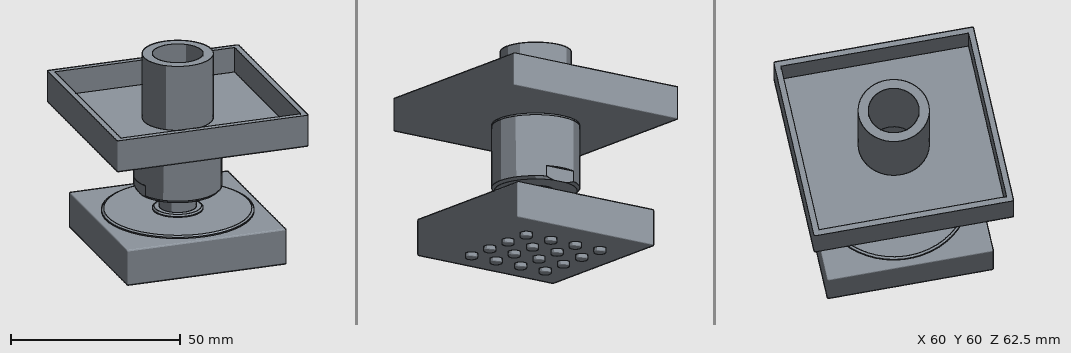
import cadquery as cq
import math

NOZZLE_DIAMETER = 3.6
NOZZLE_LENGTH = 1.5
NOZZLE_PITCH = 9.0
NOZZLES_PER_SIDE = 4
NOZZLE_FILLET = 0.45
HEAD_SIDE = 50.0
HEAD_THICKNESS = 11.25
HEAD_FILLET = 0.55
HEAD_BOTTOM = NOZZLE_LENGTH
HEAD_TOP = HEAD_BOTTOM + HEAD_THICKNESS

DISC_RADIUS = 22.5
DISC_THICKNESS = 0.75
DISC_CHAMFER_HEIGHT = 0.4
DISC_CHAMFER_WIDTH = 0.7
DISC_TOP = HEAD_TOP + DISC_THICKNESS

COLLAR_RADIUS = 7.5
COLLAR_THICKNESS = 0.75
COLLAR_CHAMFER = 0.5
COLLAR_TOP = DISC_TOP + COLLAR_THICKNESS

STEM_RADIUS = 5.5
STEM_BORE_RADIUS = 3.5
STEM_BORE_DEPTH = 10.0
BALL_RADIUS = 9.0
BALL_CENTRE = 30.0
BALL_FLAT_RADIUS = 4.75
BALL_FLAT = BALL_CENTRE + math.sqrt(BALL_RADIUS**2 - BALL_FLAT_RADIUS**2)

PLATE_SIDE = 60.0
PLATE_HEIGHT = 10.0
PLATE_WALL = 1.8
PLATE_FLOOR = 2.25
PLATE_FILLET = 0.5
PLATE_BOTTOM = 40.0
PLATE_TOP = PLATE_BOTTOM + PLATE_HEIGHT

PIPE_RADIUS = 10.5
PIPE_BORE_RADIUS = 7.5
PIPE_TOP = 62.5
FLANGE_THICKNESS = 0.5
FLANGE_BOTTOM = PLATE_BOTTOM - FLANGE_THICKNESS

NUT_RADIUS = 13.0
NUT_LENGTH = 19.5
NUT_CHAMFER = 0.8
NUT_TOP = FLANGE_BOTTOM
NUT_BOTTOM = NUT_TOP - NUT_LENGTH
FLAT_WIDTH = 10.0
FLAT_HEIGHT = 4.0
FLAT_DISTANCE = math.sqrt(NUT_RADIUS**2 - (FLAT_WIDTH / 2) ** 2)


def cylinder(radius, bottom, top):
    """Upright cylinder on the Z axis."""
    return cq.Workplane("XY").workplane(offset=bottom).circle(radius).extrude(top - bottom)


def square_block(side, bottom, top):
    """Upright square block centred on the Z axis."""
    return cq.Workplane("XY").workplane(offset=bottom).rect(side, side).extrude(top - bottom)


def ball():
    """Full sphere of the swivel joint."""
    return cq.Workplane("XY").sphere(BALL_RADIUS).translate((0, 0, BALL_CENTRE))


def make_nozzles():
    """Square grid of nozzles hanging below the head face."""
    nozzles = (
        cq.Workplane("XY")
        .workplane(offset=HEAD_BOTTOM)
        .rarray(NOZZLE_PITCH, NOZZLE_PITCH, NOZZLES_PER_SIDE, NOZZLES_PER_SIDE)
        .circle(NOZZLE_DIAMETER / 2)
        .extrude(-NOZZLE_LENGTH)
    )
    return nozzles.faces("<Z").edges().fillet(NOZZLE_FILLET)


def make_head():
    """Square shower head, in one piece with its nozzles."""
    head = square_block(HEAD_SIDE, HEAD_BOTTOM, HEAD_TOP).edges().fillet(HEAD_FILLET)
    return head.union(make_nozzles())


def make_disc():
    """Cover disc with a shallow rim chamfer and a hole for the stem."""
    disc = cylinder(DISC_RADIUS, HEAD_TOP, DISC_TOP)
    disc = disc.faces(">Z").edges().chamfer(DISC_CHAMFER_HEIGHT, DISC_CHAMFER_WIDTH)
    return disc.cut(cylinder(STEM_RADIUS, HEAD_TOP, DISC_TOP))


def make_collar():
    """Chamfered ring that surrounds the stem."""
    collar = cylinder(COLLAR_RADIUS, DISC_TOP, COLLAR_TOP)
    collar = collar.faces(">Z").edges().chamfer(COLLAR_CHAMFER)
    return collar.cut(cylinder(STEM_RADIUS, DISC_TOP, COLLAR_TOP))


def make_stem():
    """Stem standing on the head, ending in the flattened and bored ball."""
    above_flat = cylinder(BALL_RADIUS, BALL_FLAT, BALL_CENTRE + BALL_RADIUS)
    stem = cylinder(STEM_RADIUS, HEAD_TOP, BALL_CENTRE).union(ball().cut(above_flat))
    return stem.cut(cylinder(STEM_BORE_RADIUS, BALL_FLAT - STEM_BORE_DEPTH, BALL_FLAT))


def make_nut():
    """Round nut with two spanner flats and a seat for the ball."""
    nut = cylinder(NUT_RADIUS, NUT_BOTTOM, NUT_TOP).faces("<Z").edges().chamfer(NUT_CHAMFER)
    flat_cutter = cq.Workplane("XY").box(
        2 * NUT_RADIUS, NUT_RADIUS, FLAT_HEIGHT, centered=(True, True, False)
    )
    for side in (-1, 1):
        cutter_centre = side * (FLAT_DISTANCE + NUT_RADIUS / 2)
        nut = nut.cut(flat_cutter.translate((0, cutter_centre, NUT_BOTTOM)))
    nut = nut.cut(ball()).cut(cylinder(BALL_RADIUS, BALL_CENTRE, NUT_TOP))
    return nut.cut(cylinder(STEM_RADIUS, NUT_BOTTOM, BALL_CENTRE))


def make_inlet():
    """Inlet pipe with its flange, bored right through."""
    flange = cylinder(NUT_RADIUS, FLANGE_BOTTOM, PLATE_BOTTOM)
    inlet = flange.union(cylinder(PIPE_RADIUS, PLATE_BOTTOM, PIPE_TOP))
    return inlet.cut(cylinder(PIPE_BORE_RADIUS, FLANGE_BOTTOM, PIPE_TOP))


def make_plate():
    """Wall plate with rounded outer edges and a hole that fits the pipe."""
    plate = square_block(PLATE_SIDE, PLATE_BOTTOM, PLATE_TOP)
    plate = plate.edges("|Z or <Z").fillet(PLATE_FILLET)
    inner_side = PLATE_SIDE - 2 * PLATE_WALL
    plate = plate.cut(square_block(inner_side, PLATE_BOTTOM + PLATE_FLOOR, PLATE_TOP))
    return plate.cut(cylinder(PIPE_RADIUS, PLATE_BOTTOM, PLATE_TOP))


head = make_head()
disc = make_disc()
collar = make_collar()
stem = make_stem()
nut = make_nut()
inlet = make_inlet()
plate = make_plate()

bodies = [head, disc, collar, stem, nut, inlet, plate]
result = cq.Compound.makeCompound([body.solids().val() for body in bodies])